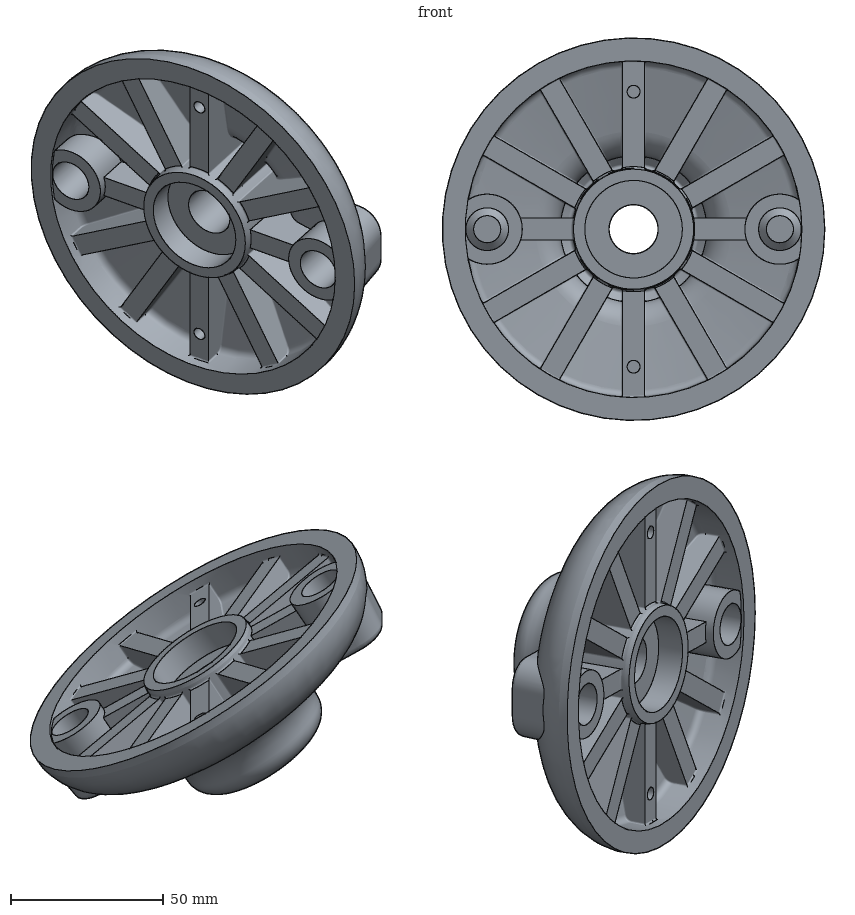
import cadquery as cq
import math


rim_radius = 62.75
rim_height = 3.0
dome_radius = 20.0
dome_top = 19.8
cone_angle = math.radians(15)
neck_radius = 25.5
neck_fillet = 7.1
neck_blend_radius = 15.0
total_height = 44.08

mouth_radius = 55.2
mouth_draft = math.radians(1)
mouth_fillet = 2.7
ceiling_angle = math.radians(11)
ceiling_height = 15.7
pocket_blend_start = 32.0
pocket_neck_radius = 24.0
pocket_root_radius = 21.6
pocket_roof_angle = math.radians(38)

hub_radius = 19.7
hub_recess = 1.0
hub_bevel_end = 2.5
hub_draft = math.radians(0.5)
hub_root_fillet = 0.85
bore_radius = 16.0
bore_depth = 10.0
shaft_hole_radius = 8.0

rib_count = 12
rib_width = 7.2
rib_recess = 4.0
rib_fillet = 0.5
pin_hole_radius = 2.1
pin_hole_depth = 10.0
pin_hole_offset = 45.1

boss_offset = 48.0
boss_radius = 11.5
boss_recess = 1.0
boss_hole_radius = 7.0
boss_hole_depth = 20.0
boss_plug_tip_radius = 4.45
boss_plug_height = 2.5

lug_height = 23.7
lug_reach = 58.7
lug_half_width = 13.6
lug_corner_radius = 9.0
lug_top_fillet = 2.0
lug_draft = math.radians(6.5)

tolerance = 0.01

dome_center_height = dome_top - dome_radius * math.cos(cone_angle)
rim_angle = math.asin((rim_height - dome_center_height) / dome_radius)
dome_center = (rim_radius - dome_radius * math.cos(rim_angle), dome_center_height)
dome_end = (dome_center[0] + dome_radius * math.sin(cone_angle), dome_top)

neck_top = total_height - neck_fillet
neck_blend_center = (neck_radius + neck_blend_radius, neck_top)


def on_circle(center, radius, angle):
    return (center[0] + radius * math.cos(angle), center[1] + radius * math.sin(angle))


def revolve(profile):
    return profile.close().revolve(360, (0, 0, 0), (0, 1, 0))


def cylinder(radius, x, z, start, end):
    """Cylinder along Y between two heights."""
    return cq.Workplane("XZ", origin=(x, start, z)).circle(radius).extrude(start - end)


def neck_blend_end_angle():
    """Direction from the neck blend center to the point where the blend meets the cone."""
    cone_below = dome_end[1] - (neck_blend_center[0] - dome_end[0]) * math.tan(cone_angle)
    gap = (neck_blend_center[1] - cone_below) * math.cos(cone_angle)
    return -math.pi / 2 - cone_angle - math.acos(gap / neck_blend_radius)


def outer_body():
    dome_mid = on_circle(dome_center, dome_radius, (rim_angle + math.pi / 2 - cone_angle) / 2)
    end_angle = neck_blend_end_angle()
    blend_start = on_circle(neck_blend_center, neck_blend_radius, end_angle)
    blend_mid = on_circle(neck_blend_center, neck_blend_radius, (end_angle - math.pi) / 2)
    fillet_center = (neck_radius - neck_fillet, neck_top)
    fillet_mid = on_circle(fillet_center, neck_fillet, math.pi / 4)
    profile = (
        cq.Workplane("XY")
        .lineTo(rim_radius, 0)
        .lineTo(rim_radius, rim_height)
        .threePointArc(dome_mid, dome_end)
        .lineTo(*blend_start)
        .threePointArc(blend_mid, (neck_radius, neck_top))
        .threePointArc(fillet_mid, (fillet_center[0], total_height))
        .lineTo(0, total_height)
    )
    return revolve(profile)


def mouth_fillet_center():
    """Center of the fillet that touches the drafted mouth wall and the ceiling."""
    wall_slope = math.tan(mouth_draft)
    ceiling_slope = math.tan(ceiling_angle)
    base_radius = mouth_radius - mouth_fillet / math.cos(mouth_draft)
    ceiling_above = ceiling_height - (base_radius - pocket_blend_start) * ceiling_slope
    drop = mouth_fillet / math.cos(ceiling_angle)
    height = (ceiling_above - drop) / (1 - ceiling_slope * wall_slope)
    return (base_radius - height * wall_slope, height)


def cavity():
    """Hollow inside the shell, with the hub left standing at its center."""
    mouth_center = mouth_fillet_center()
    ceiling_normal = math.pi / 2 - ceiling_angle
    mouth_mid = on_circle(mouth_center, mouth_fillet, (mouth_draft + ceiling_normal) / 2)

    blend_radius = (pocket_blend_start - pocket_neck_radius) / (1 - math.sin(ceiling_angle))
    blend_center = (
        pocket_neck_radius + blend_radius,
        ceiling_height + blend_radius * math.cos(ceiling_angle),
    )
    blend_mid = on_circle(blend_center, blend_radius, (ceiling_normal - 2 * math.pi) / 2)

    roof_rise = (pocket_neck_radius - pocket_root_radius) * math.tan(pocket_roof_angle)
    roof_end = (pocket_root_radius, blend_center[1] + roof_rise)
    roof_normal = math.pi / 2 - pocket_roof_angle
    root_center = on_circle(roof_end, hub_root_fillet, roof_normal - math.pi)
    root_normal = math.pi + hub_draft
    root_mid = on_circle(root_center, hub_root_fillet, (roof_normal + root_normal) / 2)
    root_end = on_circle(root_center, hub_root_fillet, root_normal)
    bevel_radius = root_end[0] - (root_end[1] - hub_bevel_end) * math.tan(hub_draft)

    profile = (
        cq.Workplane("XY")
        .lineTo(mouth_radius, 0)
        .lineTo(*on_circle(mouth_center, mouth_fillet, mouth_draft))
        .threePointArc(mouth_mid, on_circle(mouth_center, mouth_fillet, ceiling_normal))
        .lineTo(pocket_blend_start, ceiling_height)
        .threePointArc(blend_mid, (pocket_neck_radius, blend_center[1]))
        .lineTo(*roof_end)
        .threePointArc(root_mid, root_end)
        .lineTo(bevel_radius, hub_bevel_end)
        .lineTo(hub_radius, hub_recess)
        .lineTo(0, hub_recess)
    )
    return revolve(profile)


def rib_angles():
    return [index * 360 / rib_count for index in range(rib_count)]


def ribs():
    """Radial ribs, running from inside the hub wall into the shell."""
    inner = (hub_radius + bore_radius) / 2
    rib = (
        cq.Workplane("XY")
        .box(rim_radius - inner, neck_top - rib_recess, rib_width, centered=(False, False, True))
        .translate((inner, rib_recess, 0))
    )
    spokes = rib
    for angle in rib_angles()[1:]:
        spokes = spokes.union(rib.rotate((0, 0, 0), (0, 1, 0), angle))
    return spokes


def is_rib_root(edge):
    """True for an edge where a rib meets the hub, the ceiling or the mouth wall.

    The two ribs that lead to the bosses have sharp sides.
    """
    center = edge.Center()
    level = center.y - rib_recess
    for angle in rib_angles():
        turn = math.radians(angle)
        along = center.x * math.cos(turn) - center.z * math.sin(turn)
        across = center.x * math.sin(turn) + center.z * math.cos(turn)
        leads_to_boss = angle % 180 == 0
        beside_rib = abs(abs(across) - rib_width / 2) < tolerance
        side_root = beside_rib and level > tolerance and not leads_to_boss
        face_end = abs(across) < tolerance and abs(level) < tolerance
        if along > 0 and (side_root or face_end):
            return True
    return False


def filleted_pockets(hollow):
    """Cavity minus the ribs, with the roots of the ribs rounded."""
    pockets = hollow.cut(ribs())
    root_edges = [edge for edge in pockets.edges().vals() if is_rib_root(edge)]
    return pockets.newObject(root_edges).fillet(rib_fillet)


def lugs():
    """Flat-topped lugs on both sides of the dome, with a drafted outer end."""
    base_reach = lug_reach + lug_height * math.tan(lug_draft)
    lug = (
        cq.Workplane("XY")
        .lineTo(base_reach, 0)
        .lineTo(lug_reach, lug_height)
        .lineTo(0, lug_height)
        .close()
        .extrude(lug_half_width, both=True)
    )
    lug = lug.faces(">X").edges("not |Z").fillet(lug_corner_radius)
    lug = lug.faces(">Y").edges("not <X").fillet(lug_top_fillet)
    return lug.union(lug.mirror("YZ"))


def boss_hole(x):
    """Blind hole with a cone frustum standing on its floor."""
    plug = (
        cq.Workplane("XZ", origin=(x, boss_hole_depth, 0))
        .circle(boss_hole_radius)
        .workplane(offset=boss_plug_height)
        .circle(boss_plug_tip_radius)
        .loft()
    )
    return cylinder(boss_hole_radius, x, 0, 0, boss_hole_depth).cut(plug)


def add_bosses(body, hollow):
    for x in (-boss_offset, boss_offset):
        boss = cylinder(boss_radius, x, 0, boss_recess, boss_hole_depth)
        body = body.union(boss.intersect(hollow)).cut(boss_hole(x))
    return body


def cut_pin_holes(body):
    for z in (-pin_hole_offset, pin_hole_offset):
        hole_end = rib_recess + pin_hole_depth
        body = body.cut(cylinder(pin_hole_radius, 0, z, rib_recess, hole_end))
    return body


def cut_hub_bore(body):
    bore = cylinder(bore_radius, 0, 0, 0, bore_depth)
    shaft_hole = cylinder(shaft_hole_radius, 0, 0, 0, total_height)
    return body.cut(bore).cut(shaft_hole)


hollow = cavity()
part = outer_body().union(lugs()).cut(filleted_pockets(hollow))
part = add_bosses(part, hollow)
part = cut_pin_holes(part)
result = cut_hub_bore(part)